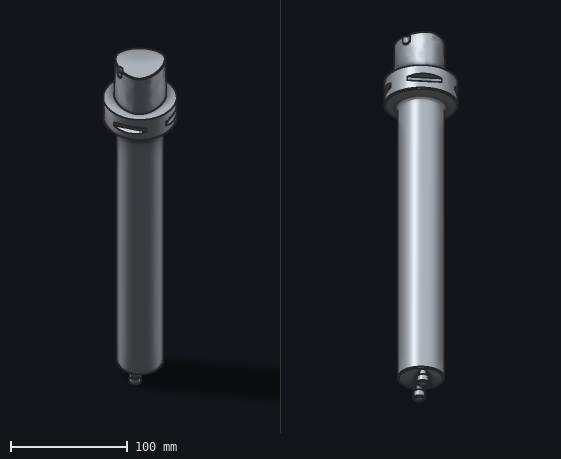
import cadquery as cq
import math

total_length = 338.0
flange_diameter = 63.0
shank_diameter = 40.0

shank_bottom = 12.5
neck_bottom = 272.8
flange_bottom = 278.5
flange_top = 300.0
edge_chamfer = 1.0

neck_radius = 3.0
cone_drop = flange_bottom - neck_bottom - neck_radius

lobe_mean_diameter = 45.0
lobe_mean_radius = lobe_mean_diameter / 2
lobe_eccentricity = 1.5
lobe_taper = 1 / 40
lobe_samples = 60
lobe_top_chamfer = 0.7

notch_radius = 4.5
notch_center_y = -21.5
notch_depth = 6.5
notch_tip_depth = 2.5
notch_tip_radius = 2.5

groove_height = 288.3
groove_depth = 3.7
groove_floor_half_width = 1.7
groove_flank_angle = 30.0
groove_count = 4

screw_offset = 9.8
screw_diameter = 6.0
screw_head_diameter = 10.0
screw_head_height = 6.8
screw_head_chamfer = 1.0


def make_turned_body():
    """Shank, neck and flange as one revolved profile."""
    shank_r = shank_diameter / 2
    flange_r = flange_diameter / 2
    arc_offset = neck_radius * (1 - math.sqrt(0.5))
    return (
        cq.Workplane("XZ")
        .moveTo(0, shank_bottom)
        .lineTo(shank_r - edge_chamfer, shank_bottom)
        .lineTo(shank_r, shank_bottom + edge_chamfer)
        .lineTo(shank_r, neck_bottom)
        .threePointArc(
            (shank_r + arc_offset, neck_bottom + neck_radius - arc_offset),
            (shank_r + neck_radius, neck_bottom + neck_radius),
        )
        .lineTo(flange_r - edge_chamfer, neck_bottom + neck_radius + cone_drop - edge_chamfer)
        .lineTo(flange_r, flange_bottom)
        .lineTo(flange_r, flange_top)
        .lineTo(0, flange_top)
        .close()
        .revolve(360, (0, 0), (0, 1))
    )


def lobe_wire(mean_radius, height):
    """Constant-width three-lobed outline with one lobe towards +Y."""
    points = []
    for i in range(lobe_samples):
        angle = 2 * math.pi * i / lobe_samples
        reach = mean_radius + lobe_eccentricity * math.cos(3 * angle)
        slide = -3 * lobe_eccentricity * math.sin(3 * angle)
        x = -reach * math.sin(angle) - slide * math.cos(angle)
        y = reach * math.cos(angle) - slide * math.sin(angle)
        points.append(cq.Vector(x, y, height))
    return cq.Wire.assembleEdges([cq.Edge.makeSpline(points, periodic=True)])


def make_lobed_shank():
    """Tapered lobed shank with a chamfered top edge."""
    chamfer_start = total_length - lobe_top_chamfer
    upper_radius = lobe_mean_radius - lobe_taper * (chamfer_start - flange_top)
    lower_wire = lobe_wire(lobe_mean_radius, flange_top)
    upper_wire = lobe_wire(upper_radius, chamfer_start)
    top_wire = lobe_wire(upper_radius - lobe_top_chamfer, total_length)
    taper = cq.Solid.makeLoft([lower_wire, upper_wire], True)
    chamfer = cq.Solid.makeLoft([upper_wire, top_wire], True)
    return cq.Workplane(taper).union(cq.Workplane(chamfer))


def make_notch():
    """Round-backed vertical notch ending in a conical tip."""
    notch_bottom = total_length - notch_depth
    return (
        cq.Workplane("XZ", origin=(0, notch_center_y, 0))
        .moveTo(0, total_length)
        .lineTo(notch_radius, total_length)
        .lineTo(notch_radius, notch_bottom)
        .lineTo(notch_tip_radius, notch_bottom - notch_tip_depth)
        .lineTo(0, notch_bottom - notch_tip_depth)
        .close()
        .revolve(360, (0, 0), (0, 1))
    )


def make_groove(angle):
    """Straight trapezoidal groove across the flange rim, facing the given angle."""
    rim = flange_diameter / 2
    mouth_half_width = groove_floor_half_width + groove_depth * math.tan(math.radians(groove_flank_angle))
    return (
        cq.Workplane("XZ")
        .moveTo(rim - groove_depth, groove_height - groove_floor_half_width)
        .lineTo(rim, groove_height - mouth_half_width)
        .lineTo(rim, groove_height + mouth_half_width)
        .lineTo(rim - groove_depth, groove_height + groove_floor_half_width)
        .close()
        .extrude(rim, both=True)
        .rotate((0, 0, 0), (0, 0, 1), angle)
    )


def make_screw(x, y):
    """Cap screw hanging below the shank face."""
    head = (
        cq.Workplane("XY")
        .circle(screw_head_diameter / 2)
        .extrude(screw_head_height)
        .faces("<Z")
        .chamfer(screw_head_chamfer)
    )
    stem = cq.Workplane("XY").circle(screw_diameter / 2).extrude(shank_bottom + edge_chamfer)
    return head.union(stem).translate((x, y, 0))


result = make_turned_body().union(make_lobed_shank()).cut(make_notch())

for index in range(groove_count):
    result = result.cut(make_groove(45 + index * 360 / groove_count))

for side in (-1, 1):
    result = result.union(make_screw(side * screw_offset, -side * screw_offset))